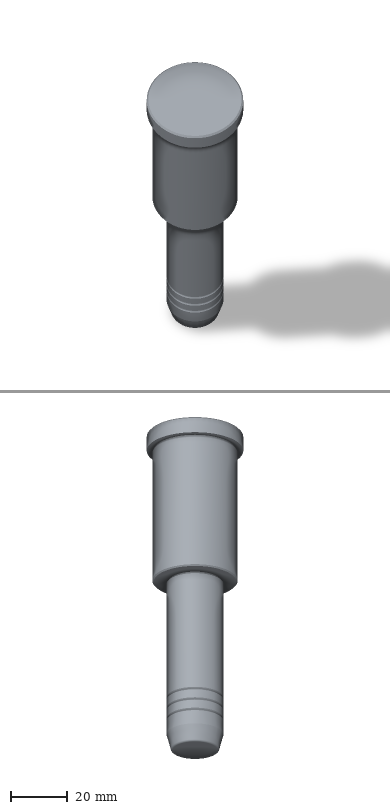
import cadquery as cq
import math

total_length = 120.0
head_radius = 34.0 / 2
body_radius = 30.0 / 2
pin_radius = 20.0 / 2

head_height = 6.0
body_length = 49.9
tip_height = 6.0
tip_angle = 15.0

head_chamfer = 0.6
body_chamfer = 0.5
tip_fillet = 0.7

head_relief_depth = 0.4
head_relief_neck = 0.2
head_relief_height = 1.0
pin_relief_depth = 0.6
pin_relief_height = 0.8

groove_count = 3
groove_depth = 0.5
groove_width = 1.0
groove_pitch = 4.0
lowest_groove_z = 11.5

head_bottom = total_length - head_height
body_bottom = head_bottom - body_length
tip_radius = pin_radius - tip_height * math.tan(math.radians(tip_angle))


def cylinder(radius, bottom, top):
    """Solid cylinder on the Z axis between two heights."""
    return cq.Workplane("XY").workplane(offset=bottom).circle(radius).extrude(top - bottom)


def revolved(profile):
    """Solid of revolution about Z from a closed list of (radius, height) points."""
    return cq.Workplane("XZ").polyline(profile).close().revolve(360, (0, 0), (0, 1))


def head_relief():
    """Ring cut under the head: a short straight neck, then a taper out to the body surface."""
    neck_radius = body_radius - head_relief_depth
    profile = [
        (body_radius, head_bottom),
        (neck_radius, head_bottom),
        (neck_radius, head_bottom - head_relief_neck),
        (body_radius, head_bottom - head_relief_height),
    ]
    return revolved(profile)


def pin_relief():
    """Square-section ring cut into the pin directly under the body."""
    relief_bottom = body_bottom - pin_relief_height
    ring = cylinder(pin_radius, relief_bottom, body_bottom)
    return ring.cut(cylinder(pin_radius - pin_relief_depth, relief_bottom, body_bottom))


def groove(z):
    """V-section ring cut into the pin surface, deepest at height z."""
    profile = [
        (pin_radius, z - groove_width / 2),
        (pin_radius - groove_depth, z),
        (pin_radius, z + groove_width / 2),
    ]
    return revolved(profile)


head = cylinder(head_radius, head_bottom, total_length).faces(">Z").edges().chamfer(head_chamfer)
body = cylinder(body_radius, body_bottom, head_bottom).faces("<Z").edges().chamfer(body_chamfer)
pin = cylinder(pin_radius, tip_height, body_bottom)

tip_profile = [(0, 0), (tip_radius, 0), (pin_radius, tip_height), (0, tip_height)]
tip = revolved(tip_profile)
tip = tip.faces("<Z").edges().fillet(tip_fillet)

result = head.union(body).union(pin).union(tip)

result = result.cut(head_relief()).cut(pin_relief())

for index in range(groove_count):
    result = result.cut(groove(lowest_groove_z + index * groove_pitch))